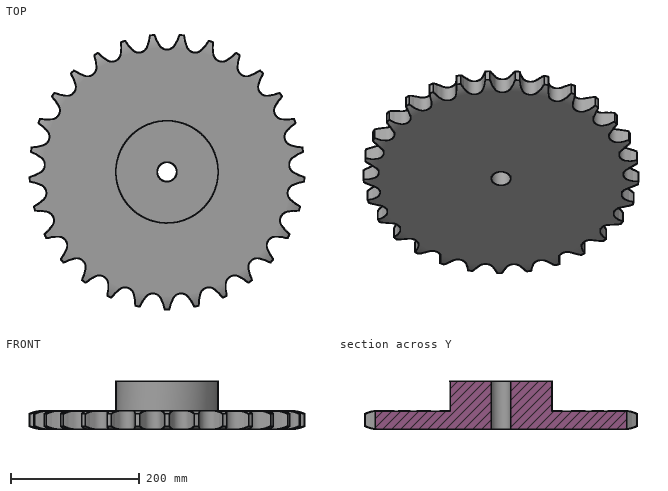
import cadquery as cq
import math

OVERALL_WIDTH = 429.5
OVERALL_HEIGHT = 75.0
PLATE_THICKNESS = 29.0
HUB_DIAMETER = 160.0
BORE_DIAMETER = 30.0

TOOTH_COUNT = 29
PITCH_RADIUS = 205.0
SEAT_RADIUS = 13.7
SEAT_HALF_ANGLE = math.radians(60)
FLANK_LENGTH = 9.0
TIP_HALF_WIDTH = 3.5
TOPPING_BULGE = 0.2

BEVEL_START_RADIUS = 194.5
BEVEL_ARC_RADIUS = 45.0
RIM_ALLOWANCE = 4.5

TOOTH_PITCH = 2 * math.pi / TOOTH_COUNT
FIRST_TOOTH_ANGLE = -math.pi / 2

TIP_HALF_ANGLE = math.asin(TIP_HALF_WIDTH / (OVERALL_WIDTH / 2))
OUTER_RADIUS = OVERALL_WIDTH / 2 / math.cos(TOOTH_PITCH / 4 - TIP_HALF_ANGLE)


def polar(radius, angle):
    return (radius * math.cos(angle), radius * math.sin(angle))


def turned(point, angle):
    x, y = point
    return (
        x * math.cos(angle) - y * math.sin(angle),
        x * math.sin(angle) + y * math.cos(angle),
    )


def mirrored(point):
    return (point[0], -point[1])


def gap_side_points():
    """Seat end, flank end, topping middle and tip corner, for a gap centred on +X."""
    seat_end = (
        PITCH_RADIUS - SEAT_RADIUS * math.cos(SEAT_HALF_ANGLE),
        SEAT_RADIUS * math.sin(SEAT_HALF_ANGLE),
    )
    flank_end = (
        seat_end[0] + FLANK_LENGTH * math.sin(SEAT_HALF_ANGLE),
        seat_end[1] + FLANK_LENGTH * math.cos(SEAT_HALF_ANGLE),
    )
    tip_corner = polar(OUTER_RADIUS, TOOTH_PITCH / 2 - TIP_HALF_ANGLE)
    run = tip_corner[0] - flank_end[0]
    rise = tip_corner[1] - flank_end[1]
    chord = math.hypot(run, rise)
    topping_middle = (
        (flank_end[0] + tip_corner[0]) / 2 + TOPPING_BULGE * rise / chord,
        (flank_end[1] + tip_corner[1]) / 2 - TOPPING_BULGE * run / chord,
    )
    return seat_end, flank_end, topping_middle, tip_corner


def toothed_plate():
    seat_end, flank_end, topping_middle, tip_corner = gap_side_points()
    root = (PITCH_RADIUS - SEAT_RADIUS, 0)
    first_gap = FIRST_TOOTH_ANGLE + TOOTH_PITCH / 2
    outline = cq.Workplane("XY").moveTo(*turned(mirrored(tip_corner), first_gap))
    for index in range(TOOTH_COUNT):
        gap = first_gap + index * TOOTH_PITCH
        next_tooth = gap + TOOTH_PITCH / 2
        outline = (
            outline
            .threePointArc(turned(mirrored(topping_middle), gap), turned(mirrored(flank_end), gap))
            .lineTo(*turned(mirrored(seat_end), gap))
            .threePointArc(turned(root, gap), turned(seat_end, gap))
            .lineTo(*turned(flank_end, gap))
            .threePointArc(turned(topping_middle, gap), turned(tip_corner, gap))
            .threePointArc(
                polar(OUTER_RADIUS, next_tooth),
                polar(OUTER_RADIUS, next_tooth + TIP_HALF_ANGLE),
            )
        )
    return outline.close().extrude(PLATE_THICKNESS)


def bevelled_blank():
    """Disc whose rim curves in from both faces, each arc tangent to its face."""
    blank_radius = OUTER_RADIUS + RIM_ALLOWANCE
    reach = blank_radius - BEVEL_START_RADIUS

    def bevel_depth(distance):
        return BEVEL_ARC_RADIUS - math.sqrt(BEVEL_ARC_RADIUS**2 - distance**2)

    middle_radius = BEVEL_START_RADIUS + reach / 2
    middle_depth = bevel_depth(reach / 2)
    rim_depth = bevel_depth(reach)
    return (
        cq.Workplane("XZ")
        .lineTo(BEVEL_START_RADIUS, 0)
        .threePointArc((middle_radius, middle_depth), (blank_radius, rim_depth))
        .lineTo(blank_radius, PLATE_THICKNESS - rim_depth)
        .threePointArc(
            (middle_radius, PLATE_THICKNESS - middle_depth),
            (BEVEL_START_RADIUS, PLATE_THICKNESS),
        )
        .lineTo(0, PLATE_THICKNESS)
        .close()
        .revolve(360, (0, 0, 0), (0, 1, 0))
    )


def hub():
    return cq.Workplane("XY").circle(HUB_DIAMETER / 2).extrude(OVERALL_HEIGHT)


def bore():
    return cq.Workplane("XY").circle(BORE_DIAMETER / 2).extrude(OVERALL_HEIGHT)


result = toothed_plate().intersect(bevelled_blank()).union(hub()).cut(bore())